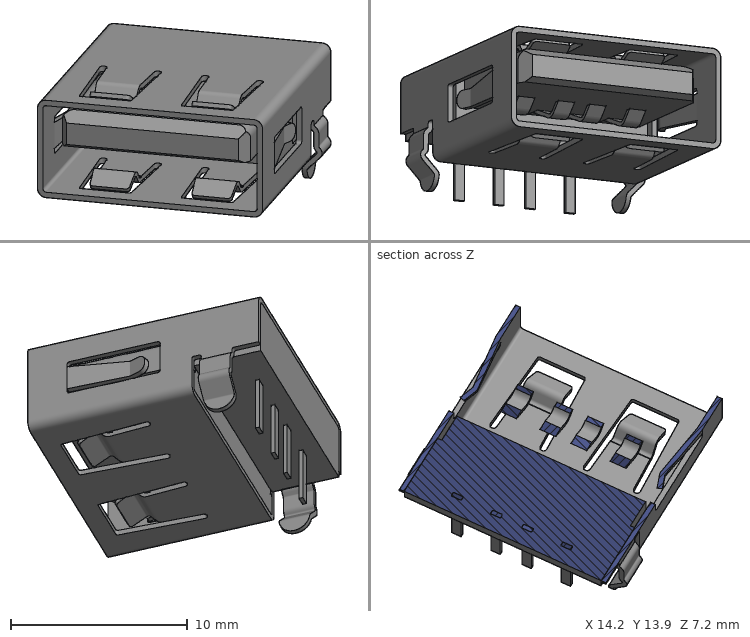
import cadquery as cq
import math


SHEET = 0.33
SHELL_WIDTH = 13.25
SHELL_HEIGHT = 5.82
SHELL_LENGTH = 13.95
SHELL_RADIUS = 0.53
INNER_WIDTH = SHELL_WIDTH - 2 * SHEET
INNER_HEIGHT = SHELL_HEIGHT - 2 * SHEET
WALL_MIDDLE_X = (SHELL_WIDTH - SHEET) / 2
MIDDLE_Z = SHELL_HEIGHT / 2
BEYOND = 0.71

REAR_OPENING_Y = 9.91
REAR_OPENING_Z = 2.41
REAR_OPENING_RADIUS = 0.14

OVERALL_WIDTH = 14.2
LEG_THICKNESS = 0.3
LEG_WIDTH = 1.86
LEG_Y = 11.4
LEG_ROOT_Z = 2.05
LEG_JOGGLE = 0.3
LEG_STRAIGHT_TOP_Z = 1.73
LEG_KNEE_Z = 0.45
LEG_FOOT_X = 6.06
LEG_BEND = 0.25
TAIL_BOTTOM_Z = -1.38

TAB_X = 3.0
TAB_WINDOW_FRONT_Y = 1.19
TAB_ROOT_Y = 6.63
TAB_WINDOW_FRONT_WIDTH = 3.04
TAB_WINDOW_ROOT_WIDTH = 3.64
TAB_WINDOW_RADIUS = 0.13
TAB_SLOT = 0.41
TAB_SLOT_RADIUS = 0.2
TAB_TIP_Y = 2.1
TAB_TIP_RADIUS = 0.2
TAB_THICKNESS = 0.25
TAB_BEND_Y = 3.9
TAB_CONTACT_Y = 3.3
TAB_DROP = 0.7
TAB_BEND = 0.33

SIDE_WINDOW_FRONT_Y = 2.39
SIDE_WINDOW_REAR_Y = 8.0
SIDE_WINDOW_BOTTOM_Z = 1.83
SIDE_WINDOW_TOP_Z = 4.03
SIDE_WINDOW_RADIUS = 0.17
SIDE_SPRING_Z = 2.93
SIDE_SPRING_ROOT_HEIGHT = 1.56
SIDE_SPRING_TIP_HEIGHT = 1.05
SIDE_SPRING_PEAK_Y = 6.04
SIDE_SPRING_TIP_Y = 7.09
SIDE_SPRING_TIP_RADIUS = 0.47
SIDE_SPRING_INSET = 0.45
SIDE_SPRING_RETURN = 0.37
SIDE_SPRING_BEND = 0.21

INSULATOR_FRONT_Y = 8.1
INSULATOR_REAR_BOTTOM_Z = 2.0
CHANNEL_DEPTH = 0.24
CHANNEL_BOTTOM_Z = 1.72
CHANNEL_TOP_Z = 4.2
TOP_RECESS_WIDTH = 9.7
TOP_RECESS_DEPTH = 0.11
TOP_RECESS_LENGTH = 0.28
TONGUE_WIDTH = 11.08
TONGUE_BOTTOM_Z = 2.87
TONGUE_TOP_Z = 4.93
TONGUE_RADIUS = 0.7
TONGUE_FRONT_Y = 0.48
TONGUE_TOP_BEVEL = 0.53
TONGUE_SIDE_BEVEL = 0.48
TONGUE_BOTTOM_BEVEL = 0.25
BEVEL_ANGLE = 30.0

CONTACT_X = (-3.51, -1.0, 1.0, 3.51)
CONTACT_THICKNESS = 0.23
CONTACT_WIDTH = 1.02
CONTACT_TIP_Y = 4.03
CONTACT_TIP_RISE = 0.27
CONTACT_PEAK_Y = 5.23
CONTACT_PEAK_DROP = 0.85
CONTACT_REAR_BEND_Y = 7.53
CONTACT_BEND = 0.62
TAIL_Y = 12.81
TAIL_WIDTH = 0.6


def box(x_range, y_range, z_range):
    """Box between two limits along each axis."""
    size = [high - low for low, high in (x_range, y_range, z_range)]
    return cq.Workplane("XY").box(*size, centered=False).translate((x_range[0], y_range[0], z_range[0]))


def ribbon(points, bend, thickness, width, width_axis):
    """Strip of sheet whose mid-surface follows the points, with rounded bends."""
    path = cq.Wire.makePolygon([cq.Vector(*point) for point in points])
    path = path.fillet(bend, path.Vertices()[1:-1])
    start = cq.Vector(*points[0])
    heading = cq.Vector(*points[1]) - start
    section = cq.Plane(origin=start, xDir=cq.Vector(*width_axis), normal=heading)
    return cq.Workplane(section).rect(width, thickness).sweep(cq.Workplane(path))


def mirrored_pair(body, plane, base=(0, 0, 0)):
    """The body together with its mirror image."""
    return body.union(body.mirror(plane, base))


def trapezoid(front_y, front_width, rear_y, rear_width):
    """Tapered upright prism, wider at the rear, through the whole height of the shell."""
    return (
        cq.Workplane("XY", origin=(0, 0, -BEYOND))
        .moveTo(-front_width / 2, front_y)
        .lineTo(front_width / 2, front_y)
        .lineTo(rear_width / 2, rear_y)
        .lineTo(-rear_width / 2, rear_y)
        .close()
        .extrude(SHELL_HEIGHT + 2 * BEYOND)
    )



def shell_tube():
    def bar(width, height, radius):
        return (
            cq.Workplane("XY")
            .box(width, SHELL_LENGTH, height)
            .edges("|Y")
            .fillet(radius)
            .translate((0, SHELL_LENGTH / 2, MIDDLE_Z))
        )

    return bar(SHELL_WIDTH, SHELL_HEIGHT, SHELL_RADIUS).cut(
        bar(INNER_WIDTH, INNER_HEIGHT, SHELL_RADIUS - SHEET)
    )


def rear_opening():
    """Cutter for the rear underside; it leaves the roots of the two legs."""
    leg_front_y = LEG_Y - LEG_WIDTH / 2
    leg_rear_y = LEG_Y + LEG_WIDTH / 2
    across = (-SHELL_WIDTH, SHELL_WIDTH)
    front_slot = box(across, (REAR_OPENING_Y, leg_front_y), (-BEYOND, REAR_OPENING_Z))
    front_slot = front_slot.edges("|X and >Z").fillet(REAR_OPENING_RADIUS)
    rear_slot = box(across, (leg_rear_y, SHELL_LENGTH + BEYOND), (-BEYOND, REAR_OPENING_Z))
    rear_slot = rear_slot.edges("|X and >Z and <Y").fillet(REAR_OPENING_RADIUS)
    under_leg = box(across, (leg_front_y, leg_rear_y), (-BEYOND, LEG_ROOT_Z))
    return front_slot.union(rear_slot).union(under_leg)


def mounting_leg():
    """Leg on the +X side: steps outward, bulges at the knee, then slants in to a round foot."""
    straight_x = WALL_MIDDLE_X + LEG_JOGGLE
    knee_x = (OVERALL_WIDTH - LEG_THICKNESS) / 2 + LEG_BEND * (math.sqrt(2) - 1)
    knee_top_z = LEG_KNEE_Z + (knee_x - straight_x)
    foot_top_z = LEG_KNEE_Z - (knee_x - LEG_FOOT_X)
    path = [
        (WALL_MIDDLE_X, REAR_OPENING_Z),
        (WALL_MIDDLE_X, LEG_STRAIGHT_TOP_Z + LEG_JOGGLE),
        (straight_x, LEG_STRAIGHT_TOP_Z),
        (straight_x, knee_top_z),
        (knee_x, LEG_KNEE_Z),
        (LEG_FOOT_X, foot_top_z),
        (LEG_FOOT_X, TAIL_BOTTOM_Z),
    ]
    leg = ribbon([(x, LEG_Y, z) for x, z in path], LEG_BEND, LEG_THICKNESS, LEG_WIDTH, (0, 1, 0))
    foot_radius = LEG_WIDTH / 2
    outline = (
        cq.Workplane("YZ", origin=(0, LEG_Y, 0))
        .moveTo(-foot_radius, REAR_OPENING_Z)
        .lineTo(-foot_radius, TAIL_BOTTOM_Z + foot_radius)
        .threePointArc((0, TAIL_BOTTOM_Z), (foot_radius, TAIL_BOTTOM_Z + foot_radius))
        .lineTo(foot_radius, REAR_OPENING_Z)
        .close()
        .extrude(OVERALL_WIDTH)
    )
    return leg.intersect(outline)


def tab_plan(front_y):
    """Tapered plan of a spring tab from front_y to its root, parallel to the window's sides."""
    taper = (TAB_WINDOW_ROOT_WIDTH - TAB_WINDOW_FRONT_WIDTH) / (TAB_ROOT_Y - TAB_WINDOW_FRONT_Y)
    root_width = TAB_WINDOW_ROOT_WIDTH - 2 * TAB_SLOT
    front_width = root_width - taper * (TAB_ROOT_Y - front_y)
    return trapezoid(front_y, front_width, TAB_ROOT_Y, root_width)


def tab_window():
    """Cutter around a spring tab; the flat root of the tab stays."""
    window = trapezoid(TAB_WINDOW_FRONT_Y, TAB_WINDOW_FRONT_WIDTH, TAB_ROOT_Y, TAB_WINDOW_ROOT_WIDTH)
    window = window.cut(tab_plan(TAB_BEND_Y + TAB_BEND))
    window = window.edges("|Z and >Y").fillet(TAB_SLOT_RADIUS)
    return window.edges("|Z and <Y").fillet(TAB_WINDOW_RADIUS)


def spring_tab():
    """Tab of the top wall: bent down to the contact line, then up again to its tip."""
    flat_z = SHELL_HEIGHT - TAB_THICKNESS / 2
    path = [
        (TAB_ROOT_Y, flat_z),
        (TAB_BEND_Y, flat_z),
        (TAB_CONTACT_Y, flat_z - TAB_DROP),
        (TAB_TIP_Y, flat_z),
    ]
    strip = ribbon([(0, y, z) for y, z in path], TAB_BEND, TAB_THICKNESS, TAB_WINDOW_ROOT_WIDTH, (1, 0, 0))
    tab = strip.intersect(tab_plan(TAB_WINDOW_FRONT_Y))
    return tab.faces("<Y").edges("not |X").fillet(TAB_TIP_RADIUS)


def side_window():
    """Cutter for the windows of both side walls."""
    return box(
        (-SHELL_WIDTH, SHELL_WIDTH),
        (SIDE_WINDOW_FRONT_Y, SIDE_WINDOW_REAR_Y),
        (SIDE_WINDOW_BOTTOM_Z, SIDE_WINDOW_TOP_Z),
    ).edges("|X").fillet(SIDE_WINDOW_RADIUS)


def side_spring():
    """Spring of the +X wall: slants inward from the window's front edge, then turns back out."""
    peak_x = WALL_MIDDLE_X - SIDE_SPRING_INSET
    root_y = SIDE_WINDOW_FRONT_Y - SHEET
    path = [
        (WALL_MIDDLE_X, root_y),
        (WALL_MIDDLE_X, SIDE_WINDOW_FRONT_Y),
        (peak_x, SIDE_SPRING_PEAK_Y),
        (peak_x + SIDE_SPRING_RETURN, SIDE_SPRING_TIP_Y),
    ]
    points = [(x, y, SIDE_SPRING_Z) for x, y in path]
    strip = ribbon(points, SIDE_SPRING_BEND, SHEET, SIDE_SPRING_ROOT_HEIGHT, (0, 0, 1))
    outline = (
        cq.Workplane("YZ", origin=(0, 0, SIDE_SPRING_Z))
        .moveTo(root_y, -SIDE_SPRING_ROOT_HEIGHT / 2)
        .lineTo(SIDE_WINDOW_FRONT_Y, -SIDE_SPRING_ROOT_HEIGHT / 2)
        .lineTo(SIDE_SPRING_PEAK_Y, -SIDE_SPRING_TIP_HEIGHT / 2)
        .lineTo(SIDE_WINDOW_REAR_Y, -SIDE_SPRING_TIP_HEIGHT / 2)
        .lineTo(SIDE_WINDOW_REAR_Y, SIDE_SPRING_TIP_HEIGHT / 2)
        .lineTo(SIDE_SPRING_PEAK_Y, SIDE_SPRING_TIP_HEIGHT / 2)
        .lineTo(SIDE_WINDOW_FRONT_Y, SIDE_SPRING_ROOT_HEIGHT / 2)
        .lineTo(root_y, SIDE_SPRING_ROOT_HEIGHT / 2)
        .close()
        .extrude(SHELL_WIDTH)
    )
    spring = strip.intersect(outline)
    return spring.faces(">Y").edges("not |Z").fillet(SIDE_SPRING_TIP_RADIUS)


def make_shell():
    shell = shell_tube().cut(rear_opening()).cut(side_window())
    shell = shell.union(mirrored_pair(mounting_leg(), "YZ"))
    shell = shell.union(mirrored_pair(side_spring(), "YZ"))
    tabs = mirrored_pair(spring_tab(), "XY", (0, 0, MIDDLE_Z))
    for tab_x in (-TAB_X, TAB_X):
        shell = shell.cut(tab_window().translate((tab_x, 0, 0)))
        shell = shell.union(tabs.translate((tab_x, 0, 0)))
    return shell



def insulator_block():
    """Block that fills the rear of the shell, with a deeper front part that reaches the floor."""
    block = (
        cq.Workplane("XY")
        .box(INNER_WIDTH, SHELL_LENGTH - INSULATOR_FRONT_Y, INNER_HEIGHT)
        .edges("|Y")
        .fillet(SHELL_RADIUS - SHEET)
        .translate((0, (SHELL_LENGTH + INSULATOR_FRONT_Y) / 2, MIDDLE_Z))
    )
    across = (-INNER_WIDTH / 2, INNER_WIDTH / 2)
    rear_step = box(across, (REAR_OPENING_Y, SHELL_LENGTH), (0, INSULATOR_REAR_BOTTOM_Z))
    channel = box(
        (INNER_WIDTH / 2 - CHANNEL_DEPTH, INNER_WIDTH / 2),
        (INSULATOR_FRONT_Y, REAR_OPENING_Y),
        (CHANNEL_BOTTOM_Z, CHANNEL_TOP_Z),
    )
    inner_top_z = SHELL_HEIGHT - SHEET
    top_recess = box(
        (-TOP_RECESS_WIDTH / 2, TOP_RECESS_WIDTH / 2),
        (INSULATOR_FRONT_Y, INSULATOR_FRONT_Y + TOP_RECESS_LENGTH),
        (inner_top_z - TOP_RECESS_DEPTH, inner_top_z),
    )
    return block.cut(rear_step).cut(mirrored_pair(channel, "YZ")).cut(top_recess)


def bevel_wedge(plane, edge, depth):
    """Cutter for a front bevel; edge is the outer face's place and depth points into the tongue."""
    length = abs(depth) / math.tan(math.radians(BEVEL_ANGLE))
    return (
        cq.Workplane(plane)
        .moveTo(TONGUE_FRONT_Y, edge)
        .lineTo(TONGUE_FRONT_Y, edge + depth)
        .lineTo(TONGUE_FRONT_Y + length, edge)
        .close()
        .extrude(SHELL_WIDTH / 2, both=True)
    )


def tongue():
    """Flat tongue with rounded top corners and a bevelled front end."""
    half_width = TONGUE_WIDTH / 2
    bar = box(
        (-half_width, half_width),
        (TONGUE_FRONT_Y, INSULATOR_FRONT_Y),
        (TONGUE_BOTTOM_Z, TONGUE_TOP_Z),
    )
    bar = bar.edges("|Y and >Z").fillet(TONGUE_RADIUS)
    upright = cq.Plane(origin=(0, 0, 0), xDir=(0, 1, 0), normal=(1, 0, 0))
    level = cq.Plane(origin=(0, 0, MIDDLE_Z), xDir=(0, 1, 0), normal=(0, 0, -1))
    bar = bar.cut(bevel_wedge(upright, TONGUE_TOP_Z, -TONGUE_TOP_BEVEL))
    bar = bar.cut(bevel_wedge(upright, TONGUE_BOTTOM_Z, TONGUE_BOTTOM_BEVEL))
    return bar.cut(mirrored_pair(bevel_wedge(level, half_width, -TONGUE_SIDE_BEVEL), "YZ"))


def make_insulator(contacts):
    insulator = insulator_block().union(tongue())
    for contact in contacts:
        insulator = insulator.cut(contact)
    return insulator



def make_contact(x):
    """Contact: blade in the tongue's underside, bowed down below it, with a narrow tail at the rear."""
    blade_z = TONGUE_BOTTOM_Z + CONTACT_THICKNESS / 2
    path = [
        (TAIL_Y + CONTACT_THICKNESS / 2, blade_z),
        (CONTACT_REAR_BEND_Y, blade_z),
        (CONTACT_PEAK_Y, blade_z - CONTACT_PEAK_DROP),
        (CONTACT_TIP_Y, blade_z + CONTACT_TIP_RISE),
    ]
    points = [(x, y, z) for y, z in path]
    blade = ribbon(points, CONTACT_BEND, CONTACT_THICKNESS, CONTACT_WIDTH, (1, 0, 0))
    tail = box(
        (x - TAIL_WIDTH / 2, x + TAIL_WIDTH / 2),
        (TAIL_Y - CONTACT_THICKNESS / 2, TAIL_Y + CONTACT_THICKNESS / 2),
        (TAIL_BOTTOM_Z, blade_z),
    )
    return blade.union(tail)


shell = make_shell()
contacts = [make_contact(x) for x in CONTACT_X]
insulator = make_insulator(contacts)

result = cq.Compound.makeCompound(
    [shell.val(), insulator.val(), *[contact.val() for contact in contacts]]
)